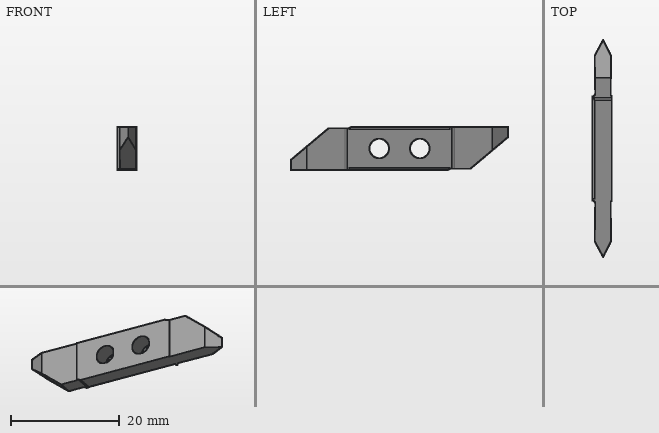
import cadquery as cq
import math

length = 40.0
width = 3.6
height = 8.0

edge_relief = 0.25
nose_height = 1.9
slope_angle = 40.0
relief_ramp_end = 9.3
relief_ramp_start = 8.85

neck_left = -1.3
neck_right = 1.65
flare_left = -1.35
flare_right = 1.7
tip_x = 0.2
tip_length = 2.9
shoulder_y = 9.6
right_step_y = 9.7
fillet_radius = 0.5

chamfer_size = 0.5
chamfer_length = 18.5
hole_diameter = 3.55
hole_spacing = 7.5

half_length = length / 2
half_width = width / 2
half_height = height / 2
tip_start = half_length - tip_length


def half_turn(points):
    return [(-a, -b) for a, b in points]


def side_profile():
    """Body in the YZ plane, unchanged by a half turn about X."""
    relieved_z = half_height - edge_relief
    nose_z = nose_height - half_height
    slope_run = (relieved_z - nose_z) / math.tan(math.radians(slope_angle))
    upper = [
        (relief_ramp_start, half_height),
        (relief_ramp_end, relieved_z),
        (half_length - slope_run, relieved_z),
        (half_length, nose_z),
        (half_length, -half_height),
    ]
    outline = cq.Workplane("YZ").polyline(upper + half_turn(upper)).close()
    return outline.extrude(half_width, both=True)


def plan_profile():
    """Pointed XY outline with concave fillets on the -X shoulders."""
    fillet_x = neck_left - fillet_radius
    fillet_y = shoulder_y + fillet_radius
    arc_offset = fillet_radius * math.sqrt(0.5)
    arc_mid = (fillet_x + arc_offset, fillet_y - arc_offset)
    outline = (
        cq.Workplane("XY")
        .moveTo(-half_width, -shoulder_y)
        .lineTo(-half_width, shoulder_y)
        .threePointArc(arc_mid, (neck_left, fillet_y))
        .lineTo(flare_left, tip_start)
        .lineTo(tip_x, half_length)
        .lineTo(flare_right, tip_start)
        .lineTo(neck_right, right_step_y)
        .lineTo(half_width, right_step_y)
        .lineTo(half_width, -right_step_y)
        .lineTo(neck_right, -right_step_y)
        .lineTo(flare_right, -tip_start)
        .lineTo(tip_x, -half_length)
        .lineTo(flare_left, -tip_start)
        .lineTo(neck_left, -fillet_y)
        .threePointArc((arc_mid[0], -arc_mid[1]), (-half_width, -shoulder_y))
        .close()
    )
    return outline.extrude(half_height, both=True)


def edge_chamfer(side):
    """Stopped chamfer wedge on the -X edge at the top (+1) or bottom (-1)."""
    corner_z = side * half_height
    wedge = [
        (-half_width, corner_z),
        (-half_width + chamfer_size, corner_z),
        (-half_width, corner_z - side * chamfer_size),
    ]
    return cq.Workplane("XZ").polyline(wedge).close().extrude(chamfer_length / 2, both=True)


def clamping_holes():
    centres = [(-hole_spacing / 2, 0), (hole_spacing / 2, 0)]
    return cq.Workplane("YZ").pushPoints(centres).circle(hole_diameter / 2).extrude(half_width, both=True)


result = side_profile().intersect(plan_profile()).cut(clamping_holes())
for side in (1, -1):
    result = result.cut(edge_chamfer(side))